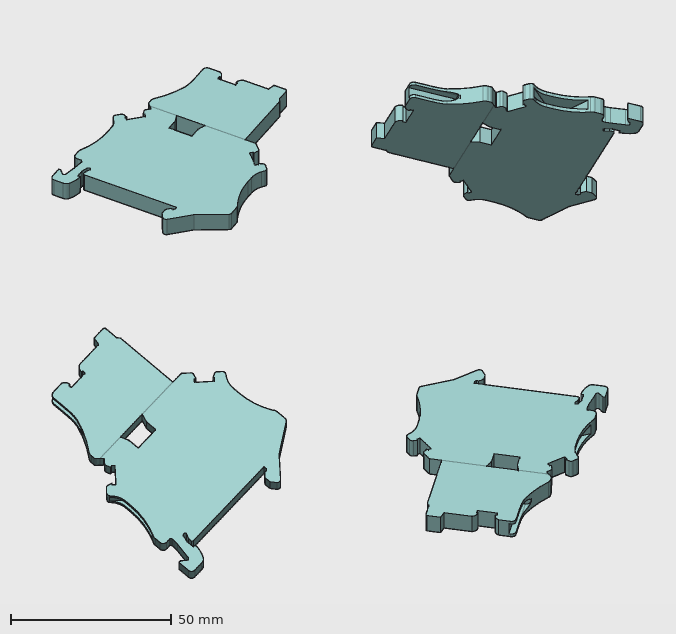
import cadquery as cq


WIDTH = 57.8
HEIGHT = 74.98
THICKNESS = 6.15
MID_Z = THICKNESS / 2

AXIS_X = 29.3
RAIL_Y = 6.95
SHOULDER_Y = 17.6
SEAM_Y = 46.9
JOINT_LEFT = 9.3
FLANK_FOOT_X = 1.4
WAIST_X = 4.1
HOOK_TOP_Y = 5.55

WINDOW_LEFT = 19.9
WINDOW_RIGHT = 28.1
WINDOW_FLARE = 1.0
WINDOW_FLARE_Y = 44.2
WINDOW_BOTTOM_Y = 40.35

PLUG_LEFT = 14.7
PLUG_RIGHT = 43.45
PLUG_NOSE_X = 8.2
PLUG_TOP_Y = 72.5
PLUG_CORNER = 1.45
NOTCH_LEFT = 21.0
NOTCH_RIGHT = 27.4
NOTCH_BOTTOM_Y = 69.3
NOTCH_LIP_Y = 70.35
NOTCH_LIP = 0.45
TAB_LEFT = 37.95
TAB_RIGHT = 42.75
TAB_SLOPE = 0.6
TAB_CHAMFER = 0.45

PLUG_SLOT_WIDTH = 3.9
PLUG_SLOT_DEPTH = 2.0
PLUG_SLOT_END_Y = 56.8

FUNNEL_WIDTH = 3.45
FUNNEL_TOP_Y = 36.4
FUNNEL_BOTTOM_Y = 18.15
FUNNEL_MOUTH_X = 2.1
FUNNEL_FLOOR_TOP_Y = 27.7
FUNNEL_FLOOR_BOTTOM_Y = 23.7
FUNNEL_FLOOR_X = FUNNEL_MOUTH_X + FUNNEL_TOP_Y - FUNNEL_FLOOR_TOP_Y


def plate(outline):
    """Close an outline and extrude it through the full thickness."""
    return outline.close().extrude(THICKNESS)


def upper_base_half():
    """Left half of the symmetric upper base: flank, marker latch and sloping shoulder."""
    outline = (
        cq.Workplane("XY")
        .moveTo(AXIS_X, SHOULDER_Y)
        .lineTo(FLANK_FOOT_X, SHOULDER_Y)
        .threePointArc((3.28, 22.6), (WAIST_X, 29.1))
        .lineTo(WAIST_X, 31.3)
        .threePointArc((3.8, 33.45), (2.85, 35.4))
        .lineTo(FUNNEL_MOUTH_X, FUNNEL_TOP_Y)
        .threePointArc((1.95, 37.05), (2.2, 37.7))
        .lineTo(3.3, 38.85)
        .threePointArc((3.95, 39.2), (4.6, 39.05))
        .lineTo(5.75, 38.6)
        .lineTo(5.4, 38.2)
        .lineTo(6.25, 37.4)
        .lineTo(10.7, 41.8)
        .lineTo(10.0, 42.6)
        .lineTo(9.4, 42.45)
        .lineTo(8.85, 44.0)
        .threePointArc((8.9, 44.45), (9.2, 44.85))
        .lineTo(11.25, SEAM_Y)
        .lineTo(AXIS_X, SEAM_Y)
    )
    return plate(outline)


def lower_base():
    """Lower base down to the rail seat, with the rail clip on the left and the fixed foot on the right."""
    clip_left = 4.4
    clip_bottom_y = 0.1
    hook_radius = 1.4
    relief_left = 6.85
    relief_right = 8.0
    foot_left = 38.9
    foot_neck_x = 41.4
    flank_end_x = 2 * AXIS_X - FLANK_FOOT_X
    outline = (
        cq.Workplane("XY")
        .moveTo(FLANK_FOOT_X, SHOULDER_Y)
        .threePointArc((1.1, 17.0), (1.0, 16.3))
        .lineTo(1.0, 14.3)
        .threePointArc((1.4, 13.3), (2.4, 12.85))
        .lineTo(clip_left - 0.4, 12.85)
        .lineTo(clip_left, 12.4)
        .lineTo(clip_left, 11.5)
        .lineTo(4.2, 9.8)
        .lineTo(3.3, 5.2)
        .lineTo(3.15, 4.4)
        .threePointArc((2.65, 4.0), (2.2, 4.1))
        .lineTo(0.75, HOOK_TOP_Y)
        .lineTo(0, HOOK_TOP_Y)
        .lineTo(0, clip_bottom_y + hook_radius)
        .radiusArc((hook_radius, clip_bottom_y), -hook_radius)
        .lineTo(4.6, clip_bottom_y)
        .threePointArc((5.7, 0.35), (6.4, 1.1))
        .threePointArc((7.3, 3.1), (7.75, HOOK_TOP_Y))
        .lineTo(relief_left, HOOK_TOP_Y)
        .lineTo(relief_left, 8.2)
        .lineTo(7.5, 10.2)
        .threePointArc((8.1, 10.75), (8.7, 10.1))
        .lineTo(relief_right, 8.7)
        .lineTo(relief_right - 0.2, 7.3)
        .lineTo(relief_right + 0.4, RAIL_Y)
        .lineTo(foot_neck_x, RAIL_Y)
        .lineTo(foot_neck_x, 6.0)
        .lineTo(41.0, HOOK_TOP_Y)
        .lineTo(40.3, HOOK_TOP_Y)
        .threePointArc((39.55, 5.05), (foot_left, 4.15))
        .lineTo(foot_left, 2.25)
        .lineTo(40.2, 0.35)
        .threePointArc((40.95, 0), (41.8, 0.3))
        .lineTo(47.9, 6.4)
        .lineTo(57.4, 11.95)
        .threePointArc((57.7, 12.25), (WIDTH, 12.7))
        .lineTo(WIDTH, 15.9)
        .threePointArc((57.65, 16.8), (flank_end_x, SHOULDER_Y))
    )
    return plate(outline)


def stop_lip():
    """Small wedge at the upper left corner of the base that carries on the nose of the plug."""
    outline = cq.Workplane("XY").polyline([(JOINT_LEFT, SEAM_Y), (10.1, 46.1), (10.1, 45.7), (11.4, SEAM_Y)])
    return plate(outline)


def window():
    """Through window under the seam, flared towards the plug."""
    outline = cq.Workplane("XY").polyline([
        (WINDOW_LEFT, WINDOW_BOTTOM_Y),
        (WINDOW_RIGHT, WINDOW_BOTTOM_Y),
        (WINDOW_RIGHT, WINDOW_FLARE_Y),
        (WINDOW_RIGHT + WINDOW_FLARE, SEAM_Y),
        (WINDOW_LEFT - WINDOW_FLARE, SEAM_Y),
        (WINDOW_LEFT, WINDOW_FLARE_Y),
    ])
    return plate(outline)


def wire_funnel():
    """Wire entry in the left flank: steep lower wall, flat floor, 45 degree upper wall."""
    return (
        cq.Workplane("XY")
        .workplane(offset=MID_Z - FUNNEL_WIDTH / 2)
        .polyline([
            (0, FUNNEL_TOP_Y),
            (FUNNEL_MOUTH_X, FUNNEL_TOP_Y),
            (FUNNEL_FLOOR_X, FUNNEL_FLOOR_TOP_Y),
            (FUNNEL_FLOOR_X, FUNNEL_FLOOR_BOTTOM_Y),
            (FLANK_FOOT_X, FUNNEL_BOTTOM_Y),
            (0, FUNNEL_BOTTOM_Y),
        ])
        .close()
        .extrude(FUNNEL_WIDTH)
    )


def base():
    """Complete base with its window and wire funnel."""
    half = upper_base_half()
    other_half = half.mirror("YZ", (AXIS_X, 0, 0))
    body = half.union(other_half).union(lower_base()).union(stop_lip())
    return body.cut(window()).cut(wire_funnel()).clean()


def plug_body():
    """Plug outline with its top notch and the release tab at the right."""
    outline = (
        cq.Workplane("XY")
        .moveTo(JOINT_LEFT, SEAM_Y)
        .lineTo(PLUG_NOSE_X + 0.2, 47.8)
        .threePointArc((PLUG_NOSE_X + 0.05, 48.05), (PLUG_NOSE_X, 48.4))
        .lineTo(PLUG_NOSE_X, 49.4)
        .threePointArc((PLUG_NOSE_X + 0.1, 50.2), (PLUG_NOSE_X + 0.4, 50.8))
        .threePointArc((12.1, 56.0), (14.2, 60.8))
        .threePointArc((PLUG_LEFT - 0.12, 63.0), (PLUG_LEFT, 65.2))
        .lineTo(PLUG_LEFT, PLUG_TOP_Y - PLUG_CORNER)
        .radiusArc((PLUG_LEFT + PLUG_CORNER, PLUG_TOP_Y), PLUG_CORNER)
        .lineTo(20.0, PLUG_TOP_Y)
        .threePointArc((20.95, 71.8), (NOTCH_LEFT + NOTCH_LIP, NOTCH_LIP_Y))
        .lineTo(NOTCH_LEFT, NOTCH_LIP_Y)
        .lineTo(NOTCH_LEFT, NOTCH_BOTTOM_Y)
        .lineTo(NOTCH_RIGHT, NOTCH_BOTTOM_Y)
        .lineTo(NOTCH_RIGHT, NOTCH_LIP_Y)
        .lineTo(NOTCH_RIGHT - NOTCH_LIP, NOTCH_LIP_Y)
        .threePointArc((27.45, 71.8), (28.4, PLUG_TOP_Y))
        .lineTo(TAB_LEFT - TAB_SLOPE, PLUG_TOP_Y)
        .lineTo(TAB_LEFT, HEIGHT)
        .lineTo(TAB_RIGHT - TAB_CHAMFER, HEIGHT)
        .lineTo(TAB_RIGHT, HEIGHT - TAB_CHAMFER)
        .lineTo(TAB_RIGHT, 69.8)
        .lineTo(PLUG_RIGHT, 68.9)
        .lineTo(PLUG_RIGHT, SEAM_Y)
    )
    return plate(outline)


def plug_slot():
    """U-shaped channel along Y, open at the top; its round side runs out through the curved edge."""
    length = PLUG_TOP_Y - PLUG_SLOT_END_Y
    start = cq.Workplane("XZ", origin=(PLUG_LEFT, PLUG_TOP_Y, MID_Z))
    round_side = start.circle(PLUG_SLOT_WIDTH / 2).extrude(length)
    flat_side = start.center(PLUG_SLOT_DEPTH / 2, 0).rect(PLUG_SLOT_DEPTH, PLUG_SLOT_WIDTH).extrude(length)
    return round_side.union(flat_side)


plug = plug_body().cut(plug_slot())

result = base().union(plug, clean=False)